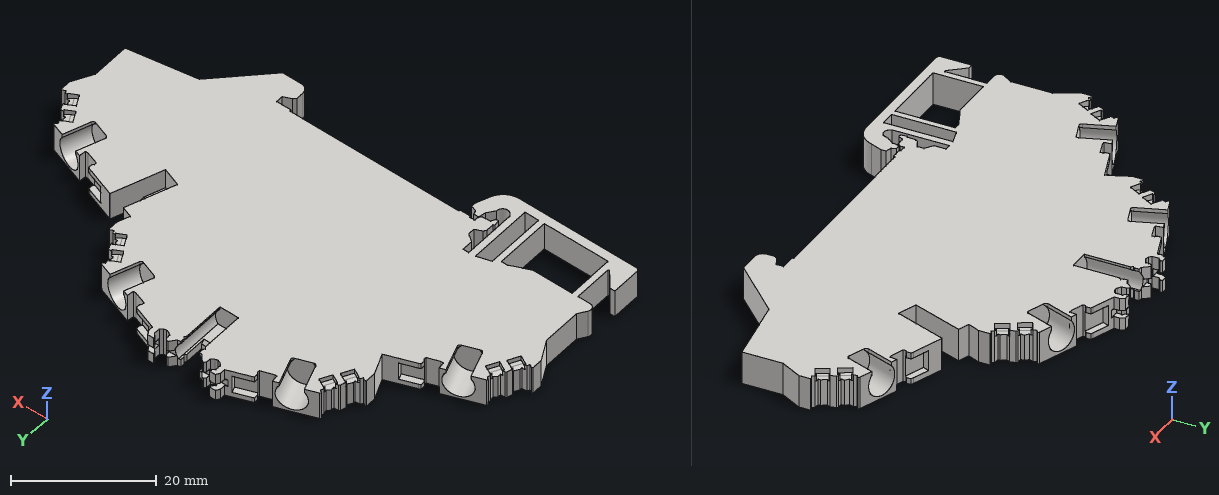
import cadquery as cq
import math

LENGTH = 83.6
HEIGHT = 52.28
THICKNESS = 5.1
TILT = 20.0
SLOPE = math.tan(math.radians(TILT))
EXTRA = 1.0

LOWER_CENTRE = 0.0
LOWER_REACH = LENGTH / 2
LOWER_LEVEL = 23.7
UPPER_CENTRE = -2.87
UPPER_REACH = 22.8
HOOK_RISE = 12.18
UPPER_LEVEL = HEIGHT - HOOK_RISE

LIP_DROP = 1.78
LIP_AND_TEETH = [
    (0.0, 0.0), (0.2, 0.1), (0.7, -0.2), (0.9, 0.25), (1.75, 0.3), (1.75, 0.65),
    (2.25, 1.45), (2.0, 2.0), (2.25, 2.85), (2.45, 3.05), (3.25, 3.05), (3.25, 3.6),
    (3.78, 4.1), (3.58, 4.8), (3.75, 5.3), (3.3, 5.65),
]
CLAMP_EDGE = 3.5
CLAMP_EDGE_RISE = 5.85
CLAMP_END = 9.95
NOTCH_FLOOR = [(10.1, 7.05), (10.6, 7.1), (12.6, 7.8)]
NOTCH_LIP_X = 12.35
NOTCH_LIP = [(12.6, 8.2), (NOTCH_LIP_X, 8.4), (NOTCH_LIP_X, 9.15)]
DECK_START = 12.7
DECK_START_RISE = 9.3
LOWER_DECK_END = 17.65
HOOK_SIDE = 16.4

HOOK = [
    (16.4, 11.5), (16.8, HOOK_RISE), (17.85, HOOK_RISE), (17.8, 11.8), (17.35, 11.4), (17.4, 10.3),
    (17.8, 9.98), (18.25, 9.85), (18.7, 9.98), (19.2, 10.3), (19.25, 11.1), (19.5, 11.4),
    (19.8, 11.4), (20.6, 10.4),
]
HOOK_END_RISE = 10.3
DETENT_RISE = 9.3
DETENT_DEPTH = 0.25
DETENT_HALF_HEIGHT = 0.3
HOOK_GAP = 1.2
HOOK_GAP_DEPTH = 1.7

SLOT_WIDTH = 3.25
SLOT_FLOOR_STEP = 4.0
SLOT_FACET = 0.53
SLOT_BLIND_DEPTH = 3.6
UPPER_SLOT_BOTTOM = UPPER_LEVEL + 1.83
SIDE_SLOT_CORNER = (21.02, 26.5)
SIDE_SLOT_LENGTH = 8.6
SIDE_SLOT_LEDGE = (19.14, 36.4)
SIDE_SLOT_LEDGE_RUN = 1.9
SIDE_SLOT_MOUTH = (22.4, 34.64)
SIDE_SLOT_CUT = SIDE_SLOT_LENGTH + 1.2

HOLE_DIAMETER = 4.85
HOLE_OPENING = 3.66
HOLE_LENGTH = 5.1
MOUTH_CORNER_RADIUS = 0.4
HOLE_CENTRE = 7.3
HOLE_AXIS_Z = 2.9

POCKET_CENTRES = [(2.85, 0.4), (4.45, 3.1)]
POCKET_LENGTH = 2.1
POCKET_WIDTH = 0.7
POCKET_ANGLE = 62.0
POCKET_DEPTH = 0.8
POCKET_FACET = 0.95
POCKET_FACET_DROP = 0.2

SOCKET_END = 15.4
SOCKET_DEPTH = 1.07
SOCKET_WIDTH = 3.2

WALL_X = 39.95
WALL_TOP = 18.5
WALL_BOTTOM_RIGHT = 12.1
WALL_BOTTOM_LEFT = 12.0
RAIL_SEAT = 7.07
RIB_FACE = 6.83

FOOT_ELBOW = (28.3, 10.25)
FOOT_BOTTOM = 2.05
FOOT_HEEL_X = 20.2
FOOT_TOE_X = 15.6
FOOT_TOE_RADIUS = 1.3
FOOT_JAW = [
    (15.6, 4.6), (16.0, 5.05), (17.38, 5.65), (17.38, RIB_FACE), (14.86, RIB_FACE), (14.86, RAIL_SEAT),
]

SEAT_LEFT_END = [
    (-15.1, RAIL_SEAT), (-15.1, RIB_FACE), (-17.0, RIB_FACE), (-17.0, RAIL_SEAT), (-17.9, RAIL_SEAT),
]
LATCH_NOSE = [
    (-17.9, 6.4), (-18.25, 5.95), (-19.7, 5.85), (-20.05, 5.1), (-20.5, 5.1), (-20.65, 6.1), (-20.4, 6.15),
    (-20.4, 7.5), (-20.1, 7.95), (-18.9, 8.5), (-18.9, 9.6), (-20.15, 10.5),
]

BODY_UNDERSIDE = 9.34
LEG_SLIT_TOP = 12.36
LEG_SLIT_LEFT = -21.15
LEG_SLIT_RIGHT = -20.15
HOOK_ROOT_START = (LEG_SLIT_LEFT, 3.5)
HOOK_ROOT_MIDDLE = (-20.15, 2.75)
HOOK_ROOT_END = (-19.1, 3.8)
CLIP_HOOK = [
    (-18.15, 5.1), (-17.95, 6.25), (-17.05, 6.28), (-16.85, 5.6), (-15.87, 5.3), (-15.87, 4.5), (-16.6, 2.65),
]
CLIP_HEEL_MIDDLE = (-17.95, 0.72)
CLIP_HEEL_END = (-19.9, 0.0)
BASE_LEFT = -41.3
BASE_CHAMFER = 0.35
BASE_TOP = 1.55
BARB_TOP = 5.35
BARB_TIP_X = -40.45
BARB_ROOT = (-38.3, 2.79)
LEG_OUTER_X = -38.04
LOWER_LIP_START = (-40.25, BODY_UNDERSIDE)
LOWER_LIP_MIDDLE = (-40.93, 9.8)
LOWER_LIP_END = (-40.87, 10.6)

WIDE_WINDOW_LEFT = -37.0
WIDE_WINDOW_RIGHT = -25.7
WIDE_WINDOW_TOP = [(WIDE_WINDOW_RIGHT, 10.85), (-26.75, 10.85), (-30.1, BODY_UNDERSIDE)]
NARROW_WINDOW_LEFT = -24.7
NARROW_WINDOW_LEFT_TOP = 11.6
NARROW_WINDOW_RIGHT = -22.3
NARROW_WINDOW_RIGHT_TOP = 12.3


def clamp_rise(inward):
    return CLAMP_EDGE_RISE + (inward - CLAMP_EDGE) * SLOPE


def deck_rise(inward):
    return DECK_START_RISE + (inward - DECK_START) * SLOPE


def deck_profile():
    """Outline of one deck from its lip to the start of the inner slope."""
    return LIP_AND_TEETH + [
        (CLAMP_EDGE, CLAMP_EDGE_RISE),
        (CLAMP_END, clamp_rise(CLAMP_END)),
        *NOTCH_FLOOR,
        *NOTCH_LIP,
        (DECK_START, DECK_START_RISE),
    ]


def place(points, centre, reach, level, side):
    """Move deck points to their place; side is -1 for left and +1 for right."""
    return [(centre + side * (reach - inward), level + rise) for inward, rise in points]


def slot_wall():
    """Wall of the upper slot from its mouth down to below the detent groove."""
    wall = UPPER_REACH - SLOT_WIDTH / 2
    return [
        (wall, HOOK_END_RISE),
        (wall, DETENT_RISE + DETENT_HALF_HEIGHT),
        (wall - DETENT_DEPTH, DETENT_RISE),
        (wall, DETENT_RISE - DETENT_HALF_HEIGHT),
    ]


def body_outline():
    lower = [(0.0, -LIP_DROP)] + deck_profile() + [(LOWER_DECK_END, deck_rise(LOWER_DECK_END))]
    upper = [(0.0, -LIP_DROP)] + deck_profile() + [(HOOK_SIDE, deck_rise(HOOK_SIDE))]
    upper = upper + HOOK + slot_wall()
    upper_left = place(upper, UPPER_CENTRE, UPPER_REACH, UPPER_LEVEL, -1)
    upper_right = place(upper, UPPER_CENTRE, UPPER_REACH, UPPER_LEVEL, 1)[::-1]
    lower_left = place(lower, LOWER_CENTRE, LOWER_REACH, LOWER_LEVEL, -1)
    lower_right = place(lower, LOWER_CENTRE, LOWER_REACH, LOWER_LEVEL, 1)[::-1]
    ledge_x, ledge_y = SIDE_SLOT_LEDGE
    ledge_end = (ledge_x + SIDE_SLOT_LEDGE_RUN, ledge_y - SIDE_SLOT_LEDGE_RUN * SLOPE)
    side = [(ledge_x, ledge_y), ledge_end, SIDE_SLOT_MOUTH]
    return lower_left + upper_left + upper_right + side + lower_right


def add_lines(outline, points):
    for x, y in points:
        outline = outline.lineTo(x, y)
    return outline


def add_fixed_foot(outline):
    heel = [(WALL_X, WALL_TOP), (WALL_X, WALL_BOTTOM_RIGHT), FOOT_ELBOW, (FOOT_HEEL_X, FOOT_BOTTOM)]
    outline = add_lines(outline, heel + [(FOOT_TOE_X + FOOT_TOE_RADIUS, FOOT_BOTTOM)])
    outline = outline.radiusArc((FOOT_TOE_X, FOOT_BOTTOM + FOOT_TOE_RADIUS), FOOT_TOE_RADIUS)
    return add_lines(outline, FOOT_JAW)


def add_spring_clip(outline):
    slit = [(LEG_SLIT_RIGHT, LEG_SLIT_TOP), (LEG_SLIT_LEFT, LEG_SLIT_TOP), HOOK_ROOT_START]
    outline = add_lines(outline, SEAT_LEFT_END + LATCH_NOSE + slit)
    outline = outline.threePointArc(HOOK_ROOT_MIDDLE, HOOK_ROOT_END)
    outline = add_lines(outline, CLIP_HOOK)
    outline = outline.threePointArc(CLIP_HEEL_MIDDLE, CLIP_HEEL_END)
    barb = [
        (BASE_LEFT + BASE_CHAMFER, 0.0), (BASE_LEFT, BASE_CHAMFER), (BASE_LEFT, BARB_TOP),
        (BARB_TIP_X, BARB_TOP), BARB_ROOT, (LEG_OUTER_X, BARB_ROOT[1]),
    ]
    outline = add_lines(outline, barb + [(LEG_OUTER_X, BODY_UNDERSIDE), LOWER_LIP_START])
    return outline.threePointArc(LOWER_LIP_MIDDLE, LOWER_LIP_END)


def body():
    outline = cq.Workplane("XY").polyline(body_outline())
    outline = add_spring_clip(add_fixed_foot(outline))
    outline = add_lines(outline, [(-WALL_X, WALL_BOTTOM_LEFT), (-WALL_X, WALL_TOP)])
    return outline.close().extrude(THICKNESS)


def clip_windows():
    wide = [(WIDE_WINDOW_LEFT, BASE_TOP), (WIDE_WINDOW_RIGHT, BASE_TOP)]
    wide = wide + WIDE_WINDOW_TOP + [(WIDE_WINDOW_LEFT, BODY_UNDERSIDE)]
    narrow = [
        (NARROW_WINDOW_LEFT, BASE_TOP), (NARROW_WINDOW_RIGHT, BASE_TOP),
        (NARROW_WINDOW_RIGHT, NARROW_WINDOW_RIGHT_TOP), (NARROW_WINDOW_LEFT, NARROW_WINDOW_LEFT_TOP),
    ]
    cutter = cq.Workplane("XY").polyline(wide).close().extrude(THICKNESS)
    return cutter.union(cq.Workplane("XY").polyline(narrow).close().extrude(THICKNESS))


def slot_cutter(length):
    """Slot along +Y from its bottom centre: blind part, facet, then open through."""
    floor = THICKNESS - SLOT_BLIND_DEPTH
    profile = [
        (0.0, THICKNESS + EXTRA), (0.0, floor), (SLOT_FLOOR_STEP - SLOT_FACET, floor),
        (SLOT_FLOOR_STEP, floor - SLOT_FACET), (SLOT_FLOOR_STEP, -EXTRA),
        (length, -EXTRA), (length, THICKNESS + EXTRA),
    ]
    return cq.Workplane("YZ").polyline(profile).close().extrude(SLOT_WIDTH / 2, both=True)


def bore(length):
    """Round bore from the origin along -Y, with an overshoot along +Y."""
    disc = cq.Workplane("XZ", origin=(0, EXTRA, HOLE_AXIS_Z)).circle(HOLE_DIAMETER / 2)
    return disc.extrude(length + EXTRA)


def hole_cutter():
    """Screw hole along -Y from the clamp face, open to the front through a narrower mouth."""
    mouth = cq.Workplane("XY").box(
        HOLE_OPENING, HOLE_LENGTH + EXTRA, THICKNESS, centered=(True, False, False)
    ).translate((0, -HOLE_LENGTH, HOLE_AXIS_Z))
    mouth = mouth.edges("|Z and <Y").fillet(MOUTH_CORNER_RADIUS)
    return bore(HOLE_LENGTH).union(mouth)


def pocket_cutter():
    """Pocket with a sloped outer facet, along X before it is turned."""
    half = POCKET_WIDTH / 2
    floor = THICKNESS - POCKET_DEPTH
    profile = [
        (-half, THICKNESS + EXTRA), (-half, floor), (half, floor),
        (half + POCKET_FACET, floor - POCKET_FACET_DROP), (half + POCKET_FACET, THICKNESS + EXTRA),
    ]
    return cq.Workplane("YZ").polyline(profile).close().extrude(POCKET_LENGTH / 2, both=True)


def socket_cutter():
    run = SOCKET_END - NOTCH_LIP_X + EXTRA
    return cq.Workplane("XY").box(
        run, SOCKET_DEPTH + EXTRA, SOCKET_WIDTH, centered=(False, False, True)
    ).translate((-run, -SOCKET_DEPTH, THICKNESS / 2))


def turn(cutter, angle, position):
    """Turn a cutter about Z, then move it to its place in the XY plane."""
    x, y = position
    return cutter.rotate((0, 0, 0), (0, 0, 1), angle).translate((x, y, 0))


def deck_cutters():
    """All cuts of one left-hand deck, with its lip at the origin."""
    hole = turn(hole_cutter(), TILT, (HOLE_CENTRE, clamp_rise(HOLE_CENTRE)))
    socket = turn(socket_cutter(), TILT, (SOCKET_END, deck_rise(SOCKET_END)))
    pockets = [turn(pocket_cutter(), POCKET_ANGLE, centre) for centre in POCKET_CENTRES]
    return [hole, socket] + pockets


def cut_decks(part):
    decks = [
        (LOWER_CENTRE, LOWER_REACH, LOWER_LEVEL),
        (UPPER_CENTRE, UPPER_REACH, UPPER_LEVEL),
    ]
    for centre, reach, level in decks:
        for cutter in deck_cutters():
            left = cutter.translate((-reach, level, 0))
            part = part.cut(left.translate((centre, 0, 0)))
            part = part.cut(left.mirror("YZ").translate((centre, 0, 0)))
    return part


def cut_upper_slot(part):
    """Slot on the upper centre line; a flat-bottomed bore widens it behind its mouth."""
    length = HEIGHT - UPPER_SLOT_BOTTOM
    slot = turn(slot_cutter(length), 0, (UPPER_CENTRE, UPPER_SLOT_BOTTOM))
    floor = THICKNESS - SLOT_BLIND_DEPTH
    above_floor = cq.Workplane("XY", origin=(0, 0, floor)).rect(HOLE_DIAMETER, 2 * HEIGHT).extrude(THICKNESS)
    widening = turn(bore(length).intersect(above_floor), 0, (UPPER_CENTRE, HEIGHT))
    return part.cut(slot).cut(widening)


def cut_side_slot(part):
    """Tilted slot beside the lower right deck, placed by its lower right corner."""
    slot = slot_cutter(SIDE_SLOT_CUT).translate((-SLOT_WIDTH / 2, 0, 0))
    return part.cut(turn(slot, -TILT, SIDE_SLOT_CORNER))


def cut_hook_gap(part):
    gap = cq.Workplane("XY").box(UPPER_REACH, 2 * HOOK_GAP_DEPTH, HOOK_GAP)
    return part.cut(gap.translate((UPPER_CENTRE, HEIGHT, THICKNESS / 2)))


part = body().cut(clip_windows())
part = cut_decks(part)
part = cut_upper_slot(part)
part = cut_side_slot(part)
result = cut_hook_gap(part)